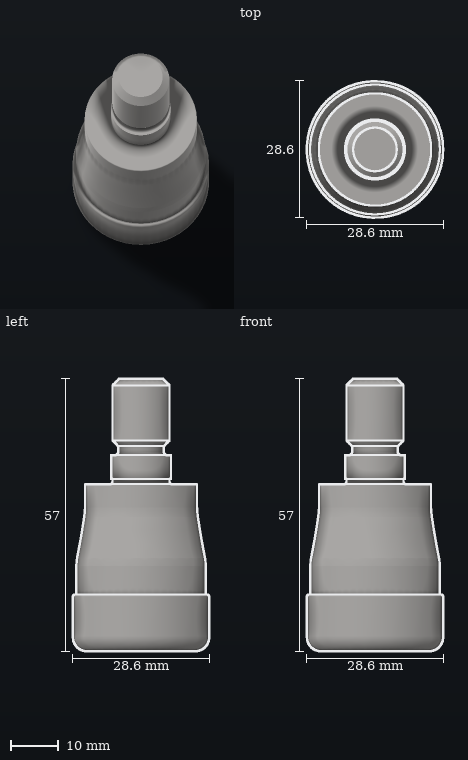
import cadquery as cq

cap_diameter = 28.55
cap_radius = cap_diameter / 2
cap_height = 11.9
cap_bottom_fillet = 3.0
cap_top_fillet = 0.5

body_radius = 13.55
shoulder_radius = 11.75
body_top = 34.95
body_top_fillet = 0.2
wide_cylinder_top = 17.8
taper_bottom = 19.5
taper_bottom_radius = 13.4
taper_top = 28.05
taper_top_radius = 11.9
narrow_cylinder_bottom = 30.0

stud_top = 57.0
stud_radius = 6.0
stud_chamfer = 1.4
thread_bottom = 44.05
relief_radius = 4.8
relief_fillet = 0.75
collar_radius = 6.25
collar_top = 41.0
collar_bottom = 36.0
root_fillet = 0.5


def make_cap():
    """Solid disc, heavily rounded below and lightly rounded above."""
    disc = cq.Workplane("XY").circle(cap_radius).extrude(cap_height)
    return disc.faces("<Z").edges().fillet(cap_bottom_fillet).faces(">Z").edges().fillet(cap_top_fillet)


def make_body():
    """Turned body resting on the cap, with tangent blends at both ends of its taper."""
    profile = (
        cq.Workplane("XZ")
        .moveTo(0, cap_height)
        .lineTo(body_radius, cap_height)
        .lineTo(body_radius, wide_cylinder_top)
        .tangentArcPoint((taper_bottom_radius, taper_bottom), relative=False)
        .tangentArcPoint((taper_top_radius, taper_top), relative=False)
        .tangentArcPoint((shoulder_radius, narrow_cylinder_bottom), relative=False)
        .lineTo(shoulder_radius, body_top)
        .lineTo(0, body_top)
        .close()
    )
    body = profile.revolve(360, (0, 0, 0), (0, 1, 0))
    return body.faces(">Z").edges().fillet(body_top_fillet)


def make_stud():
    """Turned stud whose root flares into the flat top of the body."""
    relief_top = thread_bottom - (stud_radius - relief_radius)
    profile = (
        cq.Workplane("XZ")
        .moveTo(0, body_top)
        .lineTo(stud_radius + root_fillet, body_top)
        .radiusArc((stud_radius, body_top + root_fillet), root_fillet)
        .lineTo(stud_radius, collar_bottom)
        .lineTo(collar_radius, collar_bottom)
        .lineTo(collar_radius, collar_top)
        .lineTo(relief_radius + relief_fillet, collar_top)
        .radiusArc((relief_radius, collar_top + relief_fillet), relief_fillet)
        .lineTo(relief_radius, relief_top)
        .lineTo(stud_radius, thread_bottom)
        .lineTo(stud_radius, stud_top - stud_chamfer)
        .lineTo(stud_radius - stud_chamfer, stud_top)
        .lineTo(0, stud_top)
        .close()
    )
    return profile.revolve(360, (0, 0, 0), (0, 1, 0))


cap = make_cap().solids()
studded_body = make_body().union(make_stud()).solids()

result = cq.Compound.makeCompound([cap.val(), studded_body.val()])